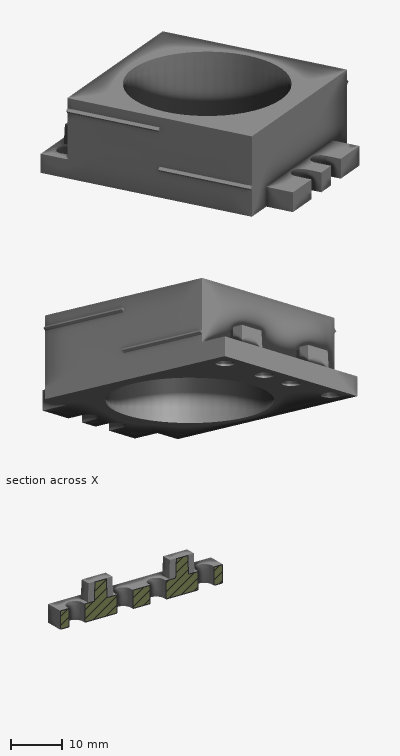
import cadquery as cq

total_length = 53.0
total_width = 40.0
block_width = 39.0
block_height = 17.0
flange_length = 5.95
block_length = total_length - 2 * flange_length
bore_diameter = 33.0

ledge_height = 4.05
tab_height = 4.2
tab_width = 27.15
hole_diameter = 3.8
slot_width = 4.05
hole_edge_distance = 3.45
inner_hole_y = 4.0
outer_hole_y = 15.5

lug_height = 4.1
lug_y = 9.75
lug_edge_distance = 1.5
lug_back_distance = 3.9
lug_head_width = 6.05
lug_neck_width = 3.2
lug_draft = 0.15

ridge_depth = (total_width - block_width) / 2
upper_ridge_z = 14.35
lower_ridge_z = 6.05

end_x = total_length / 2
block_end_x = block_length / 2
hole_x = end_x - hole_edge_distance


def box_from(x_start, length, width, height):
    """Box standing on Z = 0, centred on Y, starting at x_start."""
    block = cq.Workplane("XY").box(length, width, height, centered=(False, True, False))
    return block.translate((x_start, 0, 0))


def lug_outline(inset):
    """T outline drawn in on every side except the vertical back of its head."""
    front_x = -end_x + lug_edge_distance + inset
    back_x = -end_x + lug_back_distance
    head = lug_head_width / 2 - inset
    neck = lug_neck_width / 2 - inset
    return [
        (front_x, -head), (back_x, -head), (back_x, -neck), (-block_end_x, -neck),
        (-block_end_x, neck), (back_x, neck), (back_x, head), (front_x, head),
    ]


def make_lug():
    return (
        cq.Workplane("XY", origin=(0, 0, ledge_height))
        .polyline(lug_outline(0)).close()
        .workplane(offset=lug_height)
        .polyline(lug_outline(lug_draft)).close()
        .loft(ruled=True)
    )


def make_ridge(x_start, z):
    """Half-length ridge on the -Y side of the block."""
    face_y = -block_width / 2
    profile = [(face_y, z - ridge_depth), (face_y - ridge_depth, z), (face_y, z + ridge_depth)]
    return cq.Workplane("YZ", origin=(x_start, 0, 0)).polyline(profile).close().extrude(block_length / 2)


result = box_from(-block_end_x, block_length, block_width, block_height)
result = result.union(box_from(-end_x, flange_length, block_width, ledge_height))
result = result.union(box_from(block_end_x, flange_length, tab_width, tab_height))

result = result.cut(cq.Workplane("XY").circle(bore_diameter / 2).extrude(block_height))

hole_points = [(-hole_x, y) for y in (-outer_hole_y, -inner_hole_y, inner_hole_y, outer_hole_y)]
holes = cq.Workplane("XY").pushPoints(hole_points).circle(hole_diameter / 2).extrude(ledge_height)
result = result.cut(holes)

for slot_y in (-inner_hole_y, inner_hole_y):
    slot_end = cq.Workplane("XY").center(hole_x, slot_y).circle(slot_width / 2).extrude(tab_height)
    slot_mouth = box_from(hole_x, hole_edge_distance, slot_width, tab_height).translate((0, slot_y, 0))
    result = result.cut(slot_end).cut(slot_mouth)

for y in (-lug_y, lug_y):
    result = result.union(make_lug().translate((0, y, 0)))

for x_start, z in ((-block_end_x, upper_ridge_z), (0, lower_ridge_z)):
    ridge = make_ridge(x_start, z)
    result = result.union(ridge).union(ridge.rotate((0, 0, 0), (0, 0, 1), 180))